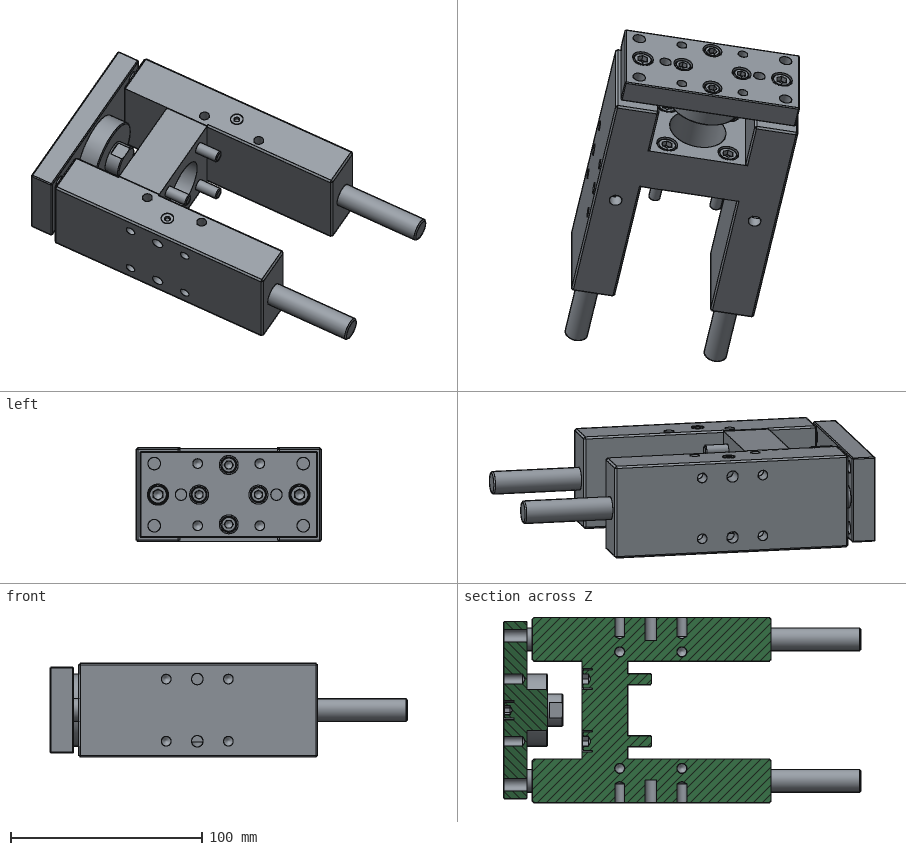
import cadquery as cq
import math

SIDES = (-1, 1)

total_length = 187.0
total_width = 97.0
total_height = 49.2

plate_thickness = 12.3
plate_width = 93.0
plate_height = 45.0
plate_chamfer = 0.5

rod_diameter = 12.0
rod_spacing = 74.0
rod_chamfer = 0.7

block_start = 15.0
block_length = 125.1
block_width = 23.0
block_chamfer = 1.0
bar_start = 41.0
bar_length = 24.1
bar_drop = 0.4
bar_bore_diameter = 30.0
block_y = (total_width - block_width) / 2
block_inner_y = total_width / 2 - block_width
bar_end = bar_start + bar_length
bar_top = total_height / 2 - bar_drop

flange_diameter = 38.0
flange_end = 23.0
flange_chamfer = 0.5
nose_diameter = 17.0
nose_end = 31.0
nose_chamfer = 0.5
nose_flats = 15.0
nose_neck = 1.0

pattern_pitch = 32.5
tapped_diameter = 5.0
tapped_depth = 10.0
drill_tip_angle = 118.0

plate_hole_diameter = 6.5
plate_hole_spacing = 78.0
plate_dowel_diameter = 6.0
plate_dowel_depth = 8.0
plate_dowel_spacing = 50.0

block_holes_x = 77.0
side_dowel_diameter = 6.0
side_dowel_depth = 12.0
top_holes_y = 30.5
lube_x = 76.5
lube_diameter = 6.5
lube_recess = 0.4
lube_nipple_bore = 3.0
lube_nipple_depth = 1.5
lube_passage_depth = 7.9

small_screw = (8.5, 10.0, 4.1)
large_screw = (10.0, 11.0, 5.0)
screw_head_height = 5.0
screw_head_recess = 0.4
screw_head_chamfer = 0.5
socket_depth = 3.0
socket_sides = 6
coupling_screw_pitch = 31.0
bar_screw_diameter = 6.0
bar_screw_end = 77.5
bar_screw_chamfer = 0.5


def x_cylinder(diameter, start, end, y=0, z=0):
    """Cylinder along X between two X positions."""
    return cq.Workplane("YZ", origin=(start, y, z)).circle(diameter / 2).extrude(end - start)


def drilled_hole(diameter, depth, point, direction):
    """Cutter for a blind hole with a conical drill tip."""
    radius = diameter / 2
    tip = radius / math.tan(math.radians(drill_tip_angle / 2))
    position = cq.Vector(*point)
    heading = cq.Vector(*direction)
    bore = cq.Solid.makeCylinder(radius, depth, position, heading)
    cone = cq.Solid.makeCone(radius, 0, tip, position + heading * depth, heading)
    return cq.Workplane(bore.fuse(cone))


def add_cap_screw(body, screw, x, y, z, point_up):
    """Sink a socket head cap screw, fused to the body, into a face at X = x that looks toward -X.

    The hexagon socket has a corner at the top if point_up is set, and a flat there otherwise.
    """
    head_diameter, counterbore_diameter, socket_width = screw
    seat_x = x + screw_head_recess + screw_head_height
    counterbore = x_cylinder(counterbore_diameter, x, seat_x, y, z)
    head = x_cylinder(head_diameter, x + screw_head_recess, seat_x, y, z)
    head = head.faces("<X").chamfer(screw_head_chamfer)
    corner_diameter = socket_width / math.cos(math.pi / socket_sides)
    turn = 180 / socket_sides if point_up else 0
    tip_start = x + screw_head_recess + socket_depth
    socket = (
        cq.Workplane("YZ", origin=(x, y, z))
        .transformed(rotate=(0, 0, turn))
        .polygon(socket_sides, corner_diameter)
        .extrude(tip_start - x)
    )
    tip = drilled_hole(socket_width, tip_start - x, (x, y, z), (1, 0, 0))
    return body.cut(counterbore).union(head).cut(socket).cut(tip)


def make_block(side):
    """One guide block with chamfered edges, before its holes are cut."""
    block = (
        cq.Workplane("XY")
        .box(block_length, block_width, total_height)
        .edges().chamfer(block_chamfer)
        .translate((block_start + block_length / 2, side * block_y, 0))
    )
    sharp_start = bar_start if side < 0 else block_start + block_chamfer
    sharp_edge = (
        cq.Workplane("XY")
        .box(bar_end - sharp_start, block_chamfer, block_chamfer, centered=(False, True, False))
        .translate((
            sharp_start,
            side * (block_inner_y + block_chamfer / 2),
            total_height / 2 - block_chamfer,
        ))
    )
    return block.union(sharp_edge)


def cut_block_holes(body, side):
    """Tapped, dowel and lubrication holes of one guide block."""
    outer_y = side * total_width / 2
    top_z = total_height / 2
    for x_side in SIDES:
        x = block_holes_x + x_side * pattern_pitch / 2
        top_point = (x, side * top_holes_y, top_z)
        body = body.cut(drilled_hole(tapped_diameter, tapped_depth, top_point, (0, 0, -1)))
        for z_side in SIDES:
            side_point = (x, outer_y, z_side * pattern_pitch / 2)
            body = body.cut(drilled_hole(tapped_diameter, tapped_depth, side_point, (0, -side, 0)))

    for z_side in SIDES:
        dowel = cq.Solid.makeCylinder(
            side_dowel_diameter / 2,
            side_dowel_depth,
            cq.Vector(block_holes_x, outer_y, z_side * pattern_pitch / 2),
            cq.Vector(0, -side, 0),
        )
        body = body.cut(cq.Workplane(dowel))

    lube_y = side * rod_spacing / 2
    nipple_z = top_z - lube_recess
    recess = (
        cq.Workplane("XY", origin=(lube_x, lube_y, nipple_z))
        .circle(lube_diameter / 2)
        .extrude(lube_recess)
    )
    nipple_bore = drilled_hole(lube_nipple_bore, lube_nipple_depth, (lube_x, lube_y, nipple_z), (0, 0, -1))
    passage = (
        cq.Workplane("XY", origin=(lube_x, lube_y, -top_z))
        .circle(lube_diameter / 2)
        .extrude(lube_passage_depth)
    )
    return body.cut(recess).cut(nipple_bore).cut(passage)


def make_bar():
    """Bar that joins the two blocks, with its large bore."""
    bar_height = bar_top + total_height / 2
    bar = (
        cq.Workplane("XY")
        .box(bar_length, 2 * (block_inner_y + block_chamfer), bar_height, centered=(False, True, False))
        .translate((bar_start, 0, -total_height / 2))
    )
    return bar.cut(x_cylinder(bar_bore_diameter, bar_start, bar_end))


def make_housing():
    """Two guide blocks, the bar between them and the bar's four screws."""
    housing = make_bar()
    for side in SIDES:
        housing = housing.union(make_block(side))
    for side in SIDES:
        housing = cut_block_holes(housing, side)
        rod_bore = x_cylinder(rod_diameter, block_start, block_start + block_length, side * rod_spacing / 2)
        housing = housing.cut(rod_bore)
        for z_side in SIDES:
            y = side * pattern_pitch / 2
            z = z_side * pattern_pitch / 2
            housing = add_cap_screw(housing, large_screw, bar_start, y, z, True)
            shank = x_cylinder(bar_screw_diameter, bar_end, bar_screw_end, y, z)
            housing = housing.union(shank.faces(">X").chamfer(bar_screw_chamfer))
    return housing


def make_coupling():
    """Round flange with a nose that has two flats for a spanner."""
    flange = x_cylinder(flange_diameter, plate_thickness, flange_end)
    flange = flange.faces(">X").chamfer(flange_chamfer)
    nose = x_cylinder(nose_diameter, flange_end, nose_end).faces(">X").chamfer(nose_chamfer)
    flats_start = flange_end + nose_neck
    flat_depth = (nose_diameter - nose_flats) / 2
    for z_side in SIDES:
        flat = (
            cq.Workplane("XY")
            .box(nose_end - flats_start, nose_diameter, flat_depth, centered=(False, True, True))
            .translate((flats_start, 0, z_side * (nose_flats + flat_depth) / 2))
        )
        nose = nose.cut(flat)
    return flange.union(nose)


def cut_plate_holes(plate):
    """Through holes, dowel holes and tapped holes of the front plate."""
    for y_side in SIDES:
        dowel_y = y_side * plate_dowel_spacing / 2
        plate = plate.cut(x_cylinder(plate_dowel_diameter, 0, plate_dowel_depth, dowel_y))
        for z_side in SIDES:
            z = z_side * pattern_pitch / 2
            corner_y = y_side * plate_hole_spacing / 2
            tapped_point = (0, y_side * pattern_pitch / 2, z)
            plate = plate.cut(x_cylinder(plate_hole_diameter, 0, plate_thickness, corner_y, z))
            plate = plate.cut(drilled_hole(tapped_diameter, tapped_depth, tapped_point, (1, 0, 0)))
    return plate


def make_slide():
    """Front plate with its guide rods, coupling and screws."""
    slide = (
        cq.Workplane("XY")
        .box(plate_thickness, plate_width, plate_height)
        .edges().chamfer(plate_chamfer)
        .translate((plate_thickness / 2, 0, 0))
    )
    slide = cut_plate_holes(slide).union(make_coupling())
    for side in SIDES:
        rod_y = side * rod_spacing / 2
        rod = x_cylinder(rod_diameter, plate_thickness, total_length, rod_y)
        slide = slide.union(rod.faces(">X").chamfer(rod_chamfer))
        slide = add_cap_screw(slide, large_screw, 0, rod_y, 0, True)
        slide = add_cap_screw(slide, small_screw, 0, side * coupling_screw_pitch / 2, 0, True)
        slide = add_cap_screw(slide, small_screw, 0, 0, side * coupling_screw_pitch / 2, False)
    return slide


housing = make_housing()
slide = make_slide()

result = cq.Compound.makeCompound([housing.val(), slide.val()])